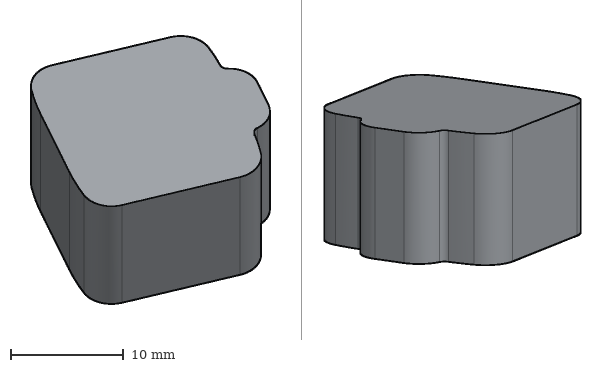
import cadquery as cq
import math

height = 12.0
width = 19.0
total_depth = 19.5
body_depth = 17.1
flat_half_width = 3.98
crown_radius = 19.99
corner_radius = 2.79
tab_radius = 2.63
tab_flat_width = 3.0
root_fillet_radius = 0.7

half_width = width / 2
half_depth = body_depth / 2
corner_x = half_width - corner_radius
crown_angle = math.asin((corner_x - flat_half_width) / (crown_radius - corner_radius))
crown_center_y = half_depth - crown_radius
corner_y = crown_center_y + (crown_radius - corner_radius) * math.cos(crown_angle)
corner_mid_angle = (math.pi / 2 - crown_angle) / 2


def crown_point(angle):
    """Point on the rear right crown arc, angle measured from +Y."""
    return (
        flat_half_width + crown_radius * math.sin(angle),
        crown_center_y + crown_radius * math.cos(angle),
    )


def make_body():
    """Crowned block, centred on the origin in X and Y, mirrored from one quarter."""
    corner_mid = (
        corner_x + corner_radius * math.cos(corner_mid_angle),
        corner_y + corner_radius * math.sin(corner_mid_angle),
    )
    return (
        cq.Workplane("XY")
        .moveTo(0, half_depth)
        .lineTo(flat_half_width, half_depth)
        .threePointArc(crown_point(crown_angle / 2), crown_point(crown_angle))
        .threePointArc(corner_mid, (half_width, corner_y))
        .lineTo(half_width, 0)
        .mirrorX()
        .mirrorY()
        .extrude(height)
    )


def make_tab():
    """Round-ended bar whose outer part stands out of the body."""
    tab_center_y = total_depth - half_depth - tab_radius
    return (
        cq.Workplane("XY")
        .center(0, tab_center_y)
        .slot2D(tab_flat_width + 2 * tab_radius, 2 * tab_radius)
        .extrude(height)
    )


def blend_tab_root(solid):
    """Fillet the two concave vertical edges where the tab leaves the body."""
    tab_half_width = tab_flat_width / 2 + tab_radius
    search = root_fillet_radius / 2
    box = cq.selectors.BoxSelector(
        (-tab_half_width - search, half_depth - search, 0),
        (tab_half_width + search, half_depth + search, height),
    )
    root_edges = solid.edges("|Z").edges(box).edges("<X or >X")
    return root_edges.fillet(root_fillet_radius)


result = blend_tab_root(make_body().union(make_tab()))